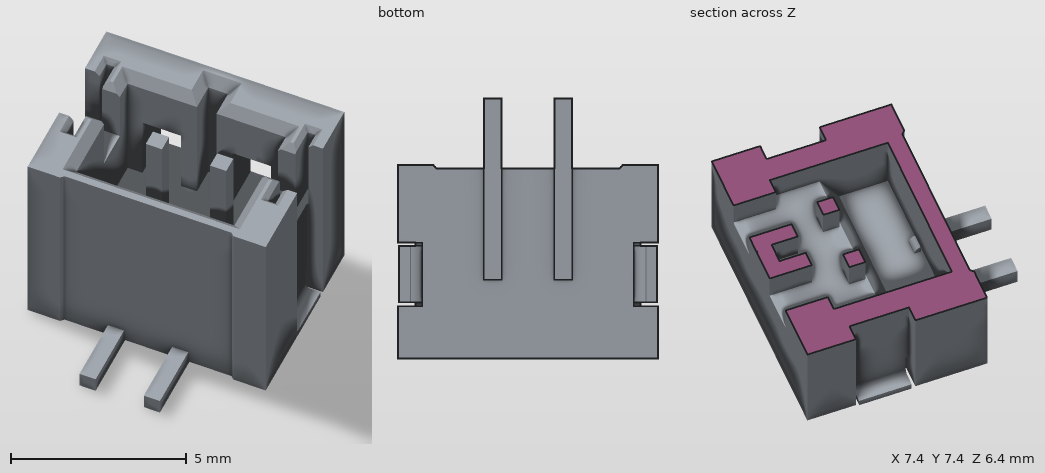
import cadquery as cq


width = 7.4
housing_depth = 5.505
housing_bottom = 0.095
height = 6.4
half_width = width / 2

recess_half_width = 2.6
recess_step = 0.095

cavity_half_width = 2.46
cavity_back = 1.3
cavity_front = 4.9
key_half_width = 0.3
key_back = 0.5
cavity_lead_in = 0.295
cavity_floor = 2.405
floor_step = 1.0
floor_slope_start = 2.81
floor_slope_run = 0.6

window_inner = 0.79
window_outer = 2.0
window_top = 4.61

nub_half_width = 0.22
nub_radius = 0.2
nub_front = 4.85

channel_back = 1.495
channel_front = 3.3
notch_back = 1.85
notch_front = 2.95
notch_floor = 4.395
notch_lead_in = 0.2

slot_outer_inset = 0.45
slot_inner_inset = 0.695
slot_back = 1.0
slot_front = 3.795
slot_lead_in = 0.15

tab_thickness = 0.2
tab_top = 3.75
tab_end_inset = 0.03
tab_bend_radius = 0.15
tab_shoulder = 0.94
tab_shoulder_radius = 0.09
foot_back = 1.6
foot_front = 3.205

margin = 0.01

pin_size = 0.5
pin_pitch = 2.0
pin_back = 2.25
pin_top = 5.6
pin_reach = 7.4


def block(x_range, depth_range, z_range):
    """Box spanning the given X, depth and Z ranges."""
    x0, x1 = x_range
    back, front = depth_range
    z0, z1 = z_range
    box = cq.Workplane("XY").box(x1 - x0, front - back, z1 - z0, centered=False)
    return box.translate((x0, -front, z0))


def side_prism(points, x0, x1):
    """Prism along X whose profile is a list of (depth, z) points."""
    profile = [(-depth, z) for depth, z in points]
    return cq.Workplane("YZ", origin=(x0, 0, 0)).polyline(profile).close().extrude(x1 - x0)


def top_rim(x_range, depth_range):
    """Selector for the edges on top of the housing that lie within the given ranges."""
    x0, x1 = x_range
    back, front = depth_range
    low_corner = (x0 - margin, -front - margin, height - margin)
    high_corner = (x1 + margin, -back + margin, height + margin)
    return cq.selectors.BoxSelector(low_corner, high_corner, boundingbox=True)


def both_ends(solid):
    """The solid together with its mirror image across X = 0."""
    return solid.union(solid.mirror("YZ"))


def front_recess():
    front = housing_depth
    outer = recess_half_width + recess_step
    points = [
        (-outer, -front),
        (-recess_half_width, -front + recess_step),
        (recess_half_width, -front + recess_step),
        (outer, -front),
    ]
    return cq.Workplane("XY").polyline(points).close().extrude(height)


def cavity():
    outline = [
        (-cavity_half_width, cavity_front),
        (-cavity_half_width, cavity_back),
        (-key_half_width, cavity_back),
        (-key_half_width, key_back),
        (key_half_width, key_back),
        (key_half_width, cavity_back),
        (cavity_half_width, cavity_back),
        (cavity_half_width, cavity_front),
    ]
    low_floor = cavity_floor - floor_step
    sunken_floor = side_prism(
        [
            (floor_slope_start, cavity_floor),
            (floor_slope_start + floor_slope_run, low_floor),
            (cavity_front, low_floor),
            (cavity_front, cavity_floor),
        ],
        -cavity_half_width,
        cavity_half_width,
    )
    points = [(x, -depth) for x, depth in outline]
    pocket = cq.Workplane("XY").workplane(offset=cavity_floor).polyline(points).close()
    return pocket.extrude(height - cavity_floor).union(sunken_floor)


def latch_windows():
    return both_ends(block((window_inner, window_outer), (0, cavity_back), (cavity_floor, window_top)))


def floor_nub():
    bottom = cavity_floor - floor_step
    nub = block(
        (-nub_half_width, nub_half_width),
        (nub_front - nub_radius, nub_front),
        (bottom - nub_radius, bottom + nub_radius),
    )
    rounding = cq.Workplane("YZ", origin=(-nub_half_width, -nub_front, bottom))
    return nub.intersect(rounding.circle(nub_radius).extrude(2 * nub_half_width))


def side_channels():
    inner = half_width - slot_inner_inset
    return both_ends(block((inner, half_width), (channel_back, channel_front), (0, height)))


def side_notches():
    """Notch across both end walls, with 45 degree lead-ins at the top."""
    points = [
        (notch_back, notch_floor),
        (notch_back, height - notch_lead_in),
        (notch_back - notch_lead_in, height),
        (notch_front + notch_lead_in, height),
        (notch_front, height - notch_lead_in),
        (notch_front, notch_floor),
    ]
    return side_prism(points, -half_width, half_width)


def tab_slots():
    outer = half_width - slot_outer_inset
    inner = half_width - slot_inner_inset
    return both_ends(block((inner, outer), (slot_back, slot_front), (tab_top, height)))


def solder_tabs():
    """L-shaped strips: a wide plate in the side channel and a narrower foot bent outwards."""
    inner = half_width - slot_inner_inset
    strip = (
        cq.Workplane("XZ")
        .moveTo(inner, tab_top)
        .lineTo(inner, 0)
        .lineTo(half_width - tab_end_inset, 0)
        .lineTo(half_width - tab_end_inset, tab_thickness)
        .lineTo(inner + tab_thickness, tab_thickness)
        .lineTo(inner + tab_thickness, tab_top)
        .close()
        .extrude(channel_front - channel_back)
        .translate((0, -channel_back, 0))
    )
    middle_y = -(channel_back + channel_front) / 2
    inside_corner = (inner + tab_thickness, middle_y, tab_thickness)
    outside_corner = (inner, middle_y, 0)
    inside_bend = cq.selectors.NearestToPointSelector(inside_corner)
    outside_bend = cq.selectors.NearestToPointSelector(outside_corner)
    strip = strip.edges(inside_bend).fillet(tab_bend_radius)
    strip = strip.edges(outside_bend).fillet(tab_bend_radius + tab_thickness)

    across = (inner, half_width)
    below_shoulder = (0, tab_shoulder)
    back_relief = block(across, (channel_back, foot_back), below_shoulder).edges("|X and >Z and <Y")
    front_relief = block(across, (foot_front, channel_front), below_shoulder).edges("|X and >Z and >Y")
    strip = strip.cut(back_relief.fillet(tab_shoulder_radius))
    strip = strip.cut(front_relief.fillet(tab_shoulder_radius))
    return both_ends(strip)


def contact_pins():
    """Pins that rise from the cavity floor and run out along the board to the front."""
    inner = (pin_pitch - pin_size) / 2
    across = (inner, inner + pin_size)
    post = block(across, (pin_back, pin_back + pin_size), (0, pin_top))
    tail = block(across, (pin_back, pin_reach), (0, pin_size))
    return both_ends(post.union(tail))


def with_lead_ins(housing):
    """Chamfer the top rims of the cavity and of the tab slots."""
    cavity_rim = top_rim((-cavity_half_width, cavity_half_width), (key_back, cavity_front))
    housing = housing.edges(cavity_rim).chamfer(cavity_lead_in)
    outer = half_width - slot_outer_inset
    inner = half_width - slot_inner_inset
    for slot_x in ((-outer, -inner), (inner, outer)):
        slot_rim = top_rim(slot_x, (slot_back, slot_front))
        housing = housing.edges(slot_rim).chamfer(slot_lead_in)
    return housing


housing = block((-half_width, half_width), (0, housing_depth), (housing_bottom, height))
housing = with_lead_ins(housing.cut(cavity()).cut(tab_slots()))
for opening in (front_recess(), latch_windows(), side_channels(), side_notches()):
    housing = housing.cut(opening)

result = housing.union(floor_nub()).union(solder_tabs()).union(contact_pins())